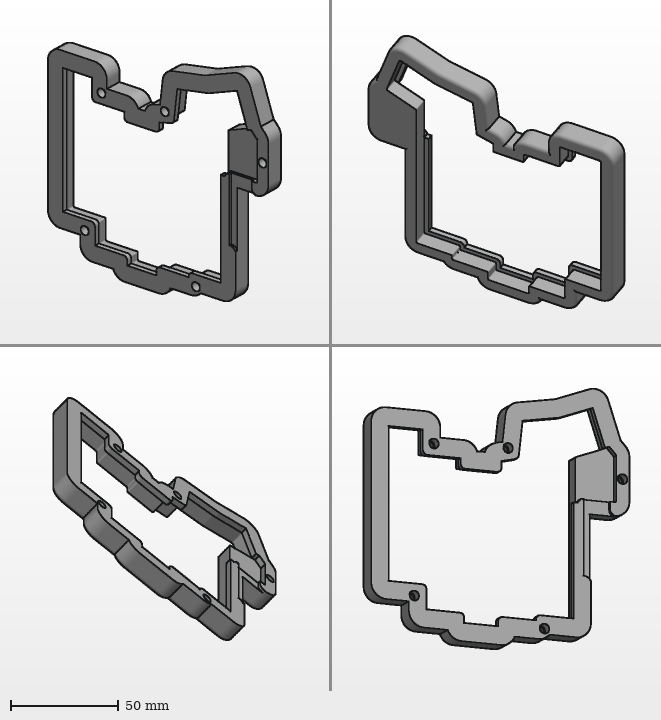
import cadquery as cq

overall_length = 130.8
thickness = 11.0
rim_width = 6.7
lip_width = 2.2
lip_depth = 3.0
rear_edge_radius = 2.0
corner_radius = 0.8

left = rim_width
base = rim_width
right = 104.6
step_low = 11.4
step_right = 14.0
step_left = 23.3
shelf = 90.1
notch = 85.3
top_left = 102.2

bay_right = overall_length - rim_width
bay_floor = 74.2
bay_corner = (120.5, 100.6)
bay_bevel_height = 96.7
bay_left_height = 94.7
bay_bevel = 1.7
lip_end = 72.1

relief_depth = 1.5
relief_left = 107.5
relief_right = 121.0
relief_bottom = 37.3
relief_bottom_radius = 4.3
relief_end_radius = 3.0

insert_diameter = 4.7
insert_depth = 5.0
pilot_diameter = 3.4
pilot_depth = 7.8
insert_places = [(21.8, 19.6), (87.8, 10.0), (31.8, 93.7), (69.3, 95.1), (127.3, 85.5)]

bottom_edge = [
    (right, step_right),
    (85.7, step_right),
    (85.7, step_low),
    (66.6, step_low),
    (66.6, base),
    (44.9, base),
    (44.9, step_low),
    (25.8, step_low),
    (25.8, step_left),
    (left, step_left),
]
top_edge = [
    (left, top_left),
    (28.4, top_left),
    (28.4, shelf),
    (47.5, shelf),
    (47.5, notch),
    (63.8, notch),
    (63.8, 90.3),
    (72.6, 92.3),
    (74.7, 110.8),
    (94.8, 114.3),
    (113.5, 121.3),
    bay_corner,
]
bay_outer_edge = [(bay_right, bay_bevel_height), (bay_right, bay_floor)]

whole_outline = bottom_edge + top_edge + bay_outer_edge + [(right, bay_floor)]
rear_outline = bottom_edge + top_edge + [(right, bay_left_height)]


def section(y):
    """XZ sketch plane at depth y, extruding toward the rear (+Y)."""
    return cq.Workplane(cq.Plane(origin=(0, y, 0), xDir=(1, 0, 0), normal=(0, -1, 0)))


def prism(outline, start, depth):
    return section(start).polyline(outline).close().extrude(-depth)


def rounded_prism(outline, start, depth):
    return prism(outline, start, depth).edges("|Y").fillet(corner_radius)


def outer_block():
    rounded_outline = rounded_prism(whole_outline, 0, thickness).faces("<Y").wires()
    block = rounded_outline.toPending().offset2D(rim_width, "arc").extrude(-thickness)
    return block.faces(">Y").edges().fillet(rear_edge_radius)


def rear_opening():
    return rounded_prism(rear_outline, lip_depth, thickness - lip_depth)


def front_opening():
    outline = section(0).polyline(whole_outline).close()
    return outline.offset2D(-lip_width, "arc").extrude(-lip_depth)


def bay_pocket():
    lip_edge = right - lip_width
    outline = [
        (right, bay_left_height),
        bay_corner,
        *bay_outer_edge,
        (right + bay_bevel, bay_floor),
        (right, bay_floor - bay_bevel),
        (right, lip_end),
        (lip_edge, lip_end),
        (lip_edge, bay_left_height),
    ]
    pocket = prism(outline, 0, lip_depth)
    return pocket.edges("|Y").edges(">X").edges("<Z").fillet(corner_radius)


def cable_relief():
    wall = right + rim_width
    ledge = bay_floor - rim_width
    outline = [
        (relief_left, bay_floor),
        (relief_right, bay_floor),
        (relief_right, ledge),
        (wall, ledge),
        (wall, relief_bottom - relief_bottom_radius),
        (relief_left, relief_bottom - relief_bottom_radius),
    ]
    sunk = prism(outline, 0, relief_depth)
    lower_end = (
        section(0)
        .center(relief_left, relief_bottom - relief_bottom_radius)
        .circle(relief_bottom_radius)
        .extrude(-relief_depth)
    )
    end_x = relief_right + relief_end_radius
    end_z = ledge + relief_end_radius
    corner = (
        section(0)
        .moveTo(relief_right, ledge)
        .lineTo(end_x, ledge)
        .radiusArc((relief_right, end_z), relief_end_radius)
        .close()
        .extrude(-relief_depth)
    )
    return sunk.cut(lower_end).union(corner)


def insert_holes(diameter, depth):
    return section(0).pushPoints(insert_places).circle(diameter / 2).extrude(-depth)


openings = [
    rear_opening(),
    front_opening(),
    bay_pocket(),
    cable_relief(),
    insert_holes(insert_diameter, insert_depth),
    insert_holes(pilot_diameter, pilot_depth),
]

result = outer_block()
for opening in openings:
    result = result.cut(opening)